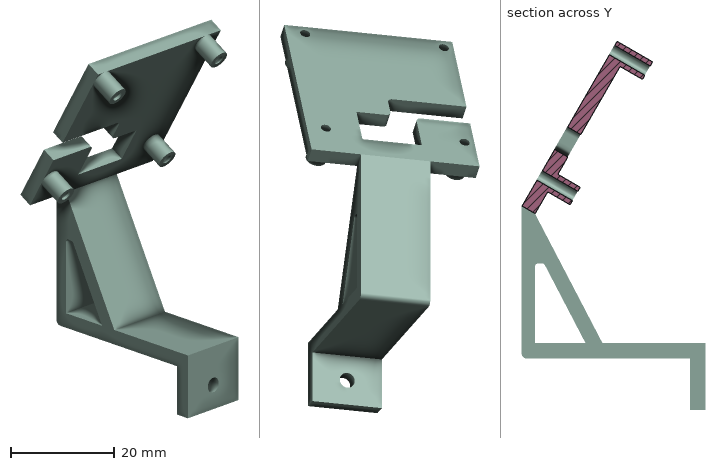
import cadquery as cq
import math

total_height = 71.55
base_length = 35.6
bracket_width = 14.0
thickness = 3.0
leg_height = 10.0
heel_radius = 1.0
base_top = leg_height + thickness

plate_tilt = 30.0
plate_width = 34.0
plate_length = 36.9
tilt = math.radians(plate_tilt)
plate_start_z = total_height - plate_length * math.cos(tilt)
plate_inner_x = thickness * math.cos(tilt)
plate_inner_z = plate_start_z - thickness * math.sin(tilt)

gusset_foot_x = 15.7
window_foot_x = 12.4
window_top_x = 4.35
window_top_z = 28.4
window_radius = 0.6

leg_hole_diameter = 3.0
leg_hole_z = leg_height / 2

pin_diameter = 4.0
pin_length = 5.0
pin_bore = 2.0
pin_spacing = 28.05
pin_center_y = pin_diameter / 2 + pin_spacing / 2 - plate_width / 2
pin_center_s = plate_length - pin_diameter / 2 - pin_spacing / 2

cutout_left_y = 6.0
cutout_step_y = -1.0
cutout_right_y = -6.0
cutout_bottom = 4.65
cutout_ledge = 12.7
cutout_top = 17.7
cutout_radius = 1.0


def make_support():
    """Wall, gusset, base and hooked leg as one extruded profile."""
    body = (
        cq.Workplane("XZ")
        .moveTo(0, leg_height)
        .lineTo(base_length - thickness, leg_height)
        .lineTo(base_length - thickness, 0)
        .lineTo(base_length, 0)
        .lineTo(base_length, base_top)
        .lineTo(gusset_foot_x, base_top)
        .lineTo(plate_inner_x, plate_inner_z)
        .lineTo(0, plate_start_z)
        .close()
        .extrude(bracket_width / 2, both=True)
    )
    body = body.edges(cq.selectors.NearestToPointSelector((0, 0, leg_height))).fillet(heel_radius)

    window = (
        cq.Workplane("XZ")
        .moveTo(plate_inner_x, base_top)
        .lineTo(window_foot_x, base_top)
        .lineTo(window_top_x, window_top_z)
        .lineTo(plate_inner_x, window_top_z)
        .close()
        .extrude(bracket_width / 2, both=True)
        .edges("|Y and >Z")
        .fillet(window_radius)
    )
    leg_hole = (
        cq.Workplane("YZ", origin=(base_length - thickness, 0, 0))
        .center(0, leg_hole_z)
        .circle(leg_hole_diameter / 2)
        .extrude(thickness)
    )
    return body.cut(window).cut(leg_hole)


def make_cutout():
    """Stepped cutout with rounded corners at the step and the entry."""
    cutout = (
        cq.Workplane("YZ")
        .moveTo(cutout_left_y, cutout_bottom)
        .lineTo(cutout_left_y, cutout_ledge)
        .lineTo(cutout_step_y, cutout_ledge)
        .lineTo(cutout_step_y, cutout_top)
        .lineTo(-plate_width / 2, cutout_top)
        .lineTo(-plate_width / 2, cutout_ledge)
        .lineTo(cutout_right_y, cutout_ledge)
        .lineTo(cutout_right_y, cutout_bottom)
        .close()
        .extrude(thickness)
    )
    rounded_corners = (
        (cutout_step_y, cutout_ledge),
        (cutout_step_y, cutout_top),
        (cutout_right_y, cutout_ledge),
    )
    for y, s in rounded_corners:
        corner = cq.selectors.NearestToPointSelector((thickness / 2, y, s))
        cutout = cutout.edges("|X").edges(corner).fillet(cutout_radius)
    return cutout


def make_plate():
    """Plate built upright at the origin, then tilted onto the top of the wall."""
    plate = cq.Workplane("XY").box(
        thickness, plate_width, plate_length, centered=(False, True, False)
    )
    plate = plate.cut(make_cutout())
    pattern = (
        cq.Workplane("YZ")
        .center(pin_center_y, pin_center_s)
        .rarray(pin_spacing, pin_spacing, 2, 2)
    )
    pins = pattern.circle(pin_diameter / 2).extrude(thickness + pin_length)
    bores = pattern.circle(pin_bore / 2).extrude(thickness + pin_length)
    plate = plate.union(pins).cut(bores)
    return plate.rotate((0, 0, 0), (0, 1, 0), plate_tilt).translate((0, 0, plate_start_z))


result = make_support().union(make_plate())